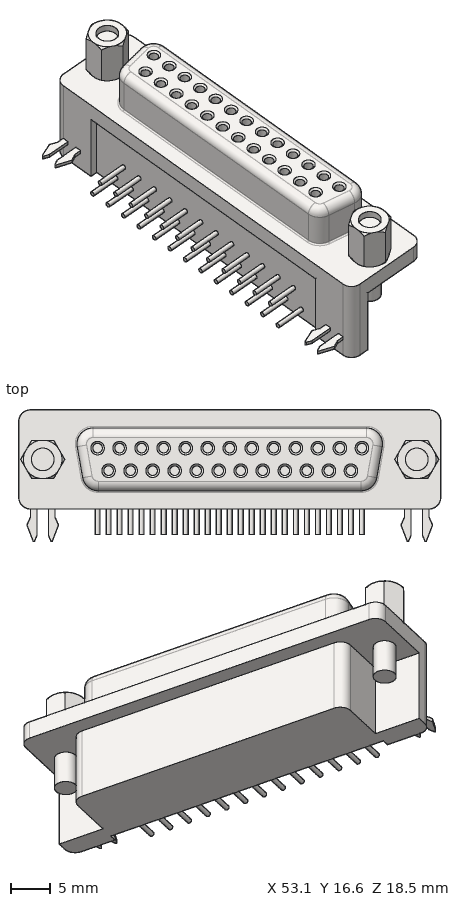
import cadquery as cq
import math


flange_length = 53.1
flange_width = 12.5
flange_thickness = 2.5
corner_radius = 1.5
bracket_leg_thickness = 2.9

housing_length = 40.2
housing_height = 10.0
housing_front_setback = 1.0
housing_back_setback = 2.1

shell_height = 6.0
shell_width = 7.9
shell_mid_length = 37.8
shell_side_angle = 10.0
shell_corner_radius = 2.0
shell_top_radius = 1.2
shell_base_radius = 0.2

contact_pitch = 2.77
row_spacing = 2.84
long_row_count = 13
short_row_count = 12
socket_mouth_diameter = 1.7
socket_bore_diameter = 1.2
socket_depth = 4.0
tail_diameter = 0.65
tail_length = 3.2
long_row_tail_z = 1.53
short_row_tail_z = long_row_tail_z + row_spacing

screw_spacing = 47.04
hex_across_flats = 4.8
hex_chamfer = 0.35
screw_bore_diameter = 2.85
screw_bore_depth = 1.0
stud_diameter = 2.9
stud_length = 4.5

lock_z = 3.0
lock_thickness = 0.5
lock_length = 4.08
lock_shoulder_length = 1.0
lock_barb_length = 2.0
lock_inner_offset = 0.7
lock_outer_offset = 1.55
lock_barb_offset = 2.0
lock_inner_length = 3.3
lock_tip_offset = 1.12
lock_tip_radius = 0.13

flange_top = housing_height + flange_thickness
shell_top = flange_top + shell_height
front_y = -flange_width / 2
housing_front_y = front_y + housing_front_setback
housing_back_y = flange_width / 2 - housing_back_setback
screw_positions = [(-screw_spacing / 2, 0), (screw_spacing / 2, 0)]
overlap = 0.5


def row_positions(count):
    """X positions of one row of contacts, centred on the connector."""
    return [(i - (count - 1) / 2) * contact_pitch for i in range(count)]


def make_bracket():
    """Flange plate with an upright leg at each end, open in front of the housing."""
    outline = (
        cq.Workplane("XY")
        .rect(flange_length, flange_width)
        .extrude(flange_top)
        .edges("|Z")
        .fillet(corner_radius)
    )
    behind_legs = (
        cq.Workplane("XY")
        .box(flange_length, flange_width, housing_height, centered=(True, False, False))
        .translate((0, front_y + bracket_leg_thickness, 0))
    )
    between_legs = cq.Workplane("XY").box(
        housing_length, flange_width, housing_height, centered=(True, True, False)
    )
    return outline.cut(behind_legs).cut(between_legs)


def make_housing():
    """Block behind the front opening, rounded along its back corners."""
    return (
        cq.Workplane("XY")
        .box(housing_length, housing_back_y - housing_front_y, housing_height, centered=(True, False, False))
        .translate((0, housing_front_y, 0))
        .edges("|Z and >Y")
        .fillet(corner_radius)
    )


def d_block(base_z, top_z):
    """Upright block with the rounded D outline of the shell, wider on its +Y side."""
    taper = shell_width / 2 * math.tan(math.radians(shell_side_angle))
    wide = shell_mid_length / 2 + taper
    narrow = shell_mid_length / 2 - taper
    half_width = shell_width / 2
    return (
        cq.Workplane("XY", origin=(0, 0, base_z))
        .polyline([(-wide, half_width), (wide, half_width), (narrow, -half_width), (-narrow, -half_width)])
        .close()
        .extrude(top_z - base_z)
        .edges("|Z")
        .fillet(shell_corner_radius)
    )


def add_shell(body):
    """Join the D shell to the flange, rounding its top rim and the bend at its base."""
    shell = d_block(flange_top - overlap, shell_top).faces(">Z").edges().fillet(shell_top_radius)
    joined = body.union(shell)
    half_length = shell_mid_length / 2 + shell_corner_radius
    half_width = shell_width / 2 + shell_base_radius
    around_base = cq.selectors.BoxSelector(
        (-half_length, -half_width, flange_top - shell_base_radius),
        (half_length, half_width, flange_top + shell_base_radius),
    )
    return joined.edges(around_base).fillet(shell_base_radius)


def make_sockets():
    """Cutter for both rows of contact holes, each with a conical mouth."""
    mouth_depth = (socket_mouth_diameter - socket_bore_diameter) / 2
    centres = [(x, row_spacing / 2) for x in row_positions(long_row_count)]
    centres += [(x, -row_spacing / 2) for x in row_positions(short_row_count)]
    profile = [
        (0, shell_top),
        (socket_mouth_diameter / 2, shell_top),
        (socket_bore_diameter / 2, shell_top - mouth_depth),
        (socket_bore_diameter / 2, shell_top - socket_depth),
        (0, shell_top - socket_depth),
    ]
    socket = cq.Workplane("XZ").polyline(profile).close().revolve(360, (0, 0), (0, 1)).val()
    return cq.Workplane("XY").pushPoints(centres).eachpoint(lambda place: socket.moved(place))


def make_tails():
    """Two rows of round solder tails leaving the housing along -Y."""
    centres = [(x, long_row_tail_z) for x in row_positions(long_row_count)]
    centres += [(x, short_row_tail_z) for x in row_positions(short_row_count)]
    return (
        cq.Workplane("XZ", origin=(0, housing_front_y + overlap, 0))
        .pushPoints(centres)
        .circle(tail_diameter / 2)
        .extrude(overlap + housing_front_setback + tail_length)
    )


def make_jackscrews():
    """Hexagonal standoffs chamfered at both ends, with a blind bore and a stud below the flange."""
    across_corners = hex_across_flats / math.cos(math.pi / 6)
    hexes = (
        cq.Workplane("XY", origin=(0, 0, flange_top))
        .pushPoints(screw_positions)
        .polygon(6, across_corners)
        .extrude(shell_height)
    )
    envelope = (
        cq.Workplane("XY", origin=(0, 0, flange_top))
        .pushPoints(screw_positions)
        .circle(across_corners / 2)
        .extrude(shell_height)
        .edges()
        .chamfer(hex_chamfer)
    )
    bores = (
        cq.Workplane("XY", origin=(0, 0, shell_top - screw_bore_depth))
        .pushPoints(screw_positions)
        .circle(screw_bore_diameter / 2)
        .extrude(screw_bore_depth)
    )
    studs = (
        cq.Workplane("XY", origin=(0, 0, housing_height - stud_length))
        .pushPoints(screw_positions)
        .circle(stud_diameter / 2)
        .extrude(stud_length + overlap)
    )
    return hexes.intersect(envelope).cut(bores).union(studs)


def lock_prong(centre_x, side):
    """One flat barbed prong; side is +1 or -1 and tells which way the barb points."""
    tip_y = front_y - lock_length
    arc_y = tip_y + lock_tip_radius

    def point(offset, y):
        return (centre_x + side * offset, y)

    return (
        cq.Workplane("XY", origin=(0, 0, lock_z - lock_thickness / 2))
        .moveTo(*point(lock_inner_offset, front_y + overlap))
        .lineTo(*point(lock_outer_offset, front_y + overlap))
        .lineTo(*point(lock_outer_offset, front_y - lock_shoulder_length))
        .lineTo(*point(lock_barb_offset, front_y - lock_barb_length))
        .lineTo(*point(lock_tip_offset + lock_tip_radius, arc_y))
        .threePointArc(point(lock_tip_offset, tip_y), point(lock_tip_offset - lock_tip_radius, arc_y))
        .lineTo(*point(lock_inner_offset, front_y - lock_inner_length))
        .close()
        .extrude(lock_thickness)
    )


result = add_shell(make_bracket().union(make_housing()))
result = result.cut(make_sockets()).union(make_tails()).union(make_jackscrews())
for screw_x, _ in screw_positions:
    for barb_side in (-1, 1):
        result = result.union(lock_prong(screw_x, barb_side))